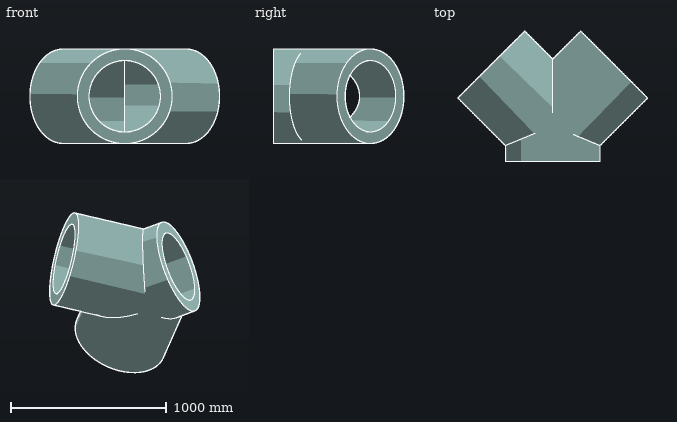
import cadquery as cq
import math

outer_diameter = 609.6
bore_diameter = 458.77
inlet_length = 228.6
branch_length = 558.8
branch_angle = 45.0

junction = cq.Vector(0, 0, 0)
branch_x = math.sin(math.radians(branch_angle))
branch_y = math.cos(math.radians(branch_angle))

legs = [
    (cq.Vector(0, -1, 0), inlet_length),
    (cq.Vector(branch_x, branch_y, 0), branch_length),
    (cq.Vector(-branch_x, branch_y, 0), branch_length),
]


def joined_cylinders(diameter):
    """Unite one cylinder per leg, all of them starting at the junction."""
    joined = cq.Workplane("XY")
    for direction, length in legs:
        cylinder = cq.Solid.makeCylinder(diameter / 2, length, junction, direction)
        joined = joined.add(cylinder)
    return joined.combine()


outer_body = joined_cylinders(outer_diameter)
bore = joined_cylinders(bore_diameter)
result = outer_body.cut(bore)